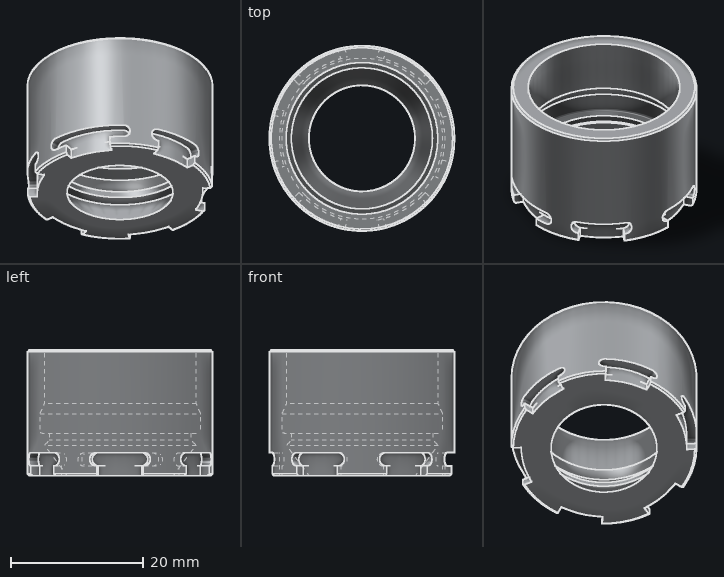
import cadquery as cq

outer_radius = 14.0
height = 19.0
edge_chamfer = 0.3

bore_radius = 22.9 / 2
bore_depth = 8.05
relief_radius = 24.3 / 2
relief_taper_height = 1.57
relief_fillet = 0.42
lip_radius = 21.3 / 2
lip_top = 6.47
lip_bottom = 5.45
cone_top = 4.65
cone_top_radius = bore_radius
mouth_radius = 16.0 / 2

slot_count = 6
cutter_diameter = 2.0
cutter_radius = cutter_diameter / 2
slot_floor_radius = 12.5
slot_top = 3.5
slot_half_angle = 15.0
long_slot_half_angle = 23.0
entry_half_angle = 10.5
slot_center_height = slot_top - cutter_radius
clearance = 0.55
cut_depth = outer_radius + clearance - slot_floor_radius


def make_sleeve():
    """Revolve the wall section, including the bore and its undercuts."""
    bore_bottom = height - bore_depth
    section = (
        cq.Workplane("XZ")
        .moveTo(mouth_radius, 0)
        .lineTo(outer_radius - edge_chamfer, 0)
        .lineTo(outer_radius, edge_chamfer)
        .lineTo(outer_radius, height - edge_chamfer)
        .lineTo(outer_radius - edge_chamfer, height)
        .lineTo(bore_radius, height)
        .lineTo(bore_radius, bore_bottom)
        .lineTo(relief_radius, bore_bottom - relief_taper_height)
        .lineTo(relief_radius, lip_top + relief_fillet)
        .radiusArc((relief_radius - relief_fillet, lip_top), relief_fillet)
        .lineTo(lip_radius, lip_top)
        .lineTo(lip_radius, lip_bottom)
        .lineTo(cone_top_radius, cone_top)
        .close()
    )
    return section.revolve(360, (0, 0, 0), (0, 1, 0))


def ring_sector(half_angle, bottom, top):
    """Ring segment outside the slot floor, centred on the +X axis."""
    return (
        cq.Workplane("XZ")
        .moveTo(slot_floor_radius, bottom)
        .lineTo(slot_floor_radius + cut_depth, bottom)
        .lineTo(slot_floor_radius + cut_depth, top)
        .lineTo(slot_floor_radius, top)
        .close()
        .revolve(2 * half_angle, (0, 0, 0), (0, 1, 0))
        .rotate((0, 0, 0), (0, 0, 1), -half_angle)
    )


def make_slot(arc_half_angle):
    """Slot on the +X axis: a rounded arc slot with a narrower entry from below."""
    slot_bottom = slot_top - cutter_diameter
    slot = ring_sector(arc_half_angle, slot_bottom, slot_top)
    slot = slot.union(ring_sector(entry_half_angle, -clearance, slot_center_height))

    arc_end = (
        cq.Workplane("YZ", origin=(slot_floor_radius, 0, slot_center_height))
        .circle(cutter_radius)
        .extrude(cut_depth)
    )
    entry_height = slot_center_height + clearance
    entry_end = cq.Workplane("XY").box(
        cut_depth, cutter_diameter, entry_height, centered=(False, True, False)
    ).translate((slot_floor_radius, 0, -clearance))
    for side in (-1, 1):
        slot = slot.union(arc_end.rotate((0, 0, 0), (0, 0, 1), side * arc_half_angle))
        slot = slot.union(entry_end.rotate((0, 0, 0), (0, 0, 1), side * entry_half_angle))
    return slot


result = make_sleeve()

result = result.cut(make_slot(long_slot_half_angle))
standard_slot = make_slot(slot_half_angle)
for index in range(1, slot_count):
    result = result.cut(standard_slot.rotate((0, 0, 0), (0, 0, 1), index * 360 / slot_count))